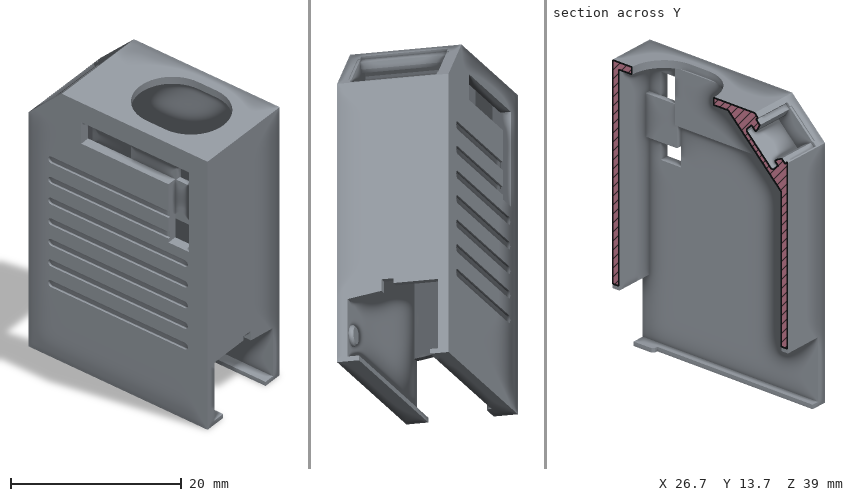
import cadquery as cq
import math

LENGTH = 26.68
WIDTH = 13.7
HEIGHT = 39.0
CORNER = 5.0
SIDE_WALL = 1.3
END_WALL = 1.0
TOP_WALL = 1.0

OPENING_LENGTH = 12.45
OPENING_WIDTH = 9.7
OPENING_X = 17.47
OPENING_Y = 6.82

LIP_HEIGHT = 0.6
FRONT_LIP_EDGE = 2.25
BACK_LIP_EDGE = 11.0
CEILING = 9.05
NOTCH_TOP = 9.65
NOTCH_FRONT = 6.8
NOTCH_BACK = 8.23
SLOPE_TOP = 8.23
SLOPE_BOTTOM = 7.6
HOOK_LENGTH = 3.0
HOOK_EDGE = 2.95
HOOK_TAPER = 0.3

STUD_RADIUS = 1.25
STUD_REACH = 0.5
STUD_CHAMFER = 0.25
STUD_X = 1.68
STUD_Z = 3.6

GROOVE_COUNT = 7
GROOVE_PITCH = 3.0
GROOVE_WIDTH = 0.98
GROOVE_DEPTH = 0.3
GROOVE_START = 2.95
GROOVE_END = 23.75
GROOVE_LOWEST = 10.65

WINDOW_LEFT = 7.88
WINDOW_RIGHT = 23.95
WINDOW_TOP = 36.2
ARM_BOTTOM = 33.07
LEG_LEFT = 20.85
LEG_BOTTOM = 24.6
PLATE_THICKNESS = 0.9
LEG_PLATE_THICKNESS = 0.7
PLATE_STEP = 14.3
PLATE_STEP_DEPTH = 0.8
ARM_PLATE_END = 21.02
ARM_PLATE_BOTTOM = 30.42
LEG_PLATE_BOTTOM = 27.38

POCKET_FRONT = 1.52
POCKET_BACK = 12.15
RIM_LOW = 0.15
RIM_HIGH = 6.3
RIM_DEPTH = 0.4
MOUTH_LOW = 0.85
MOUTH_HIGH = 5.55
THROAT_NARROWING = 0.27
THROAT_START = 1.17
THROAT_END = 1.65
CAVITY_LOW = 0.45
CAVITY_HIGH = 6.12
POCKET_DEPTH = 2.8
CAVITY_CHAMFER = 0.25
SIDE_NOTCH_LOW = 0.8
SIDE_NOTCH_HIGH = 5.75
SIDE_NOTCH_REACH = 0.3
SIDE_NOTCH_DEPTH = 0.1
POCKET_BACKING = 0.78


def box(x0, x1, y0, y1, z0, z1):
    return cq.Workplane("XY").box(x1 - x0, y1 - y0, z1 - z0, centered=False).translate((x0, y0, z0))


def prism_along_y(points, y0, y1):
    """Extrude an (x, z) outline from y0 to y1."""
    return cq.Workplane("XZ", origin=(0, y0, 0)).polyline(points).close().extrude(y0 - y1)


def on_slope(along, depth):
    """(x, z) of a point given along the sloped corner face and square into it."""
    x = (along + depth) / math.sqrt(2)
    z = HEIGHT - CORNER + (along - depth) / math.sqrt(2)
    return x, z


def shell():
    outline = [(0, 0), (LENGTH, 0), (LENGTH, HEIGHT), (CORNER, HEIGHT), (0, HEIGHT - CORNER)]
    body = prism_along_y(outline, 0, WIDTH)
    right = LENGTH - END_WALL
    top = HEIGHT - TOP_WALL
    backing_x, backing_z = on_slope(0, POCKET_DEPTH + POCKET_BACKING)
    rise = backing_z - backing_x
    inside = [
        (END_WALL, SLOPE_BOTTOM),
        (right, SLOPE_BOTTOM),
        (right, top),
        (top - rise, top),
        (END_WALL, END_WALL + rise),
    ]
    return body.cut(prism_along_y(inside, SIDE_WALL, WIDTH - SIDE_WALL))


def bottom_channel():
    back = WIDTH - SIDE_WALL
    outline = [
        (FRONT_LIP_EDGE, 0),
        (FRONT_LIP_EDGE, LIP_HEIGHT),
        (SIDE_WALL, LIP_HEIGHT),
        (SIDE_WALL, CEILING),
        (NOTCH_FRONT, CEILING),
        (NOTCH_FRONT, NOTCH_TOP),
        (NOTCH_BACK, NOTCH_TOP),
        (NOTCH_BACK, SLOPE_TOP),
        (back, SLOPE_BOTTOM),
        (back, LIP_HEIGHT),
        (BACK_LIP_EDGE, LIP_HEIGHT),
        (BACK_LIP_EDGE, 0),
    ]
    return cq.Workplane("YZ").polyline(outline).close().extrude(LENGTH)


def lip_hook():
    start = LENGTH - HOOK_LENGTH
    outline = [
        (start, SIDE_WALL),
        (LENGTH, SIDE_WALL),
        (LENGTH, HOOK_EDGE),
        (start + HOOK_TAPER, HOOK_EDGE),
        (start, HOOK_EDGE - HOOK_TAPER),
    ]
    return cq.Workplane("XY").polyline(outline).close().extrude(LIP_HEIGHT)


def stud():
    return (
        cq.Workplane("XZ", origin=(STUD_X, WIDTH - SIDE_WALL, STUD_Z))
        .circle(STUD_RADIUS)
        .extrude(STUD_REACH)
        .faces("<Y")
        .chamfer(STUD_CHAMFER)
    )


def top_opening():
    return (
        cq.Workplane("XY", origin=(OPENING_X, OPENING_Y, HEIGHT))
        .slot2D(OPENING_LENGTH, OPENING_WIDTH)
        .extrude(-TOP_WALL)
    )


def grip_grooves():
    middle = (GROOVE_START + GROOVE_END) / 2
    places = [(middle, GROOVE_LOWEST + i * GROOVE_PITCH) for i in range(GROOVE_COUNT)]
    return (
        cq.Workplane("XZ")
        .pushPoints(places)
        .slot2D(GROOVE_END - GROOVE_START, GROOVE_WIDTH)
        .extrude(-GROOVE_DEPTH)
    )


def window():
    arm = box(WINDOW_LEFT, WINDOW_RIGHT, 0, SIDE_WALL, ARM_BOTTOM, WINDOW_TOP)
    leg = box(LEG_LEFT, WINDOW_RIGHT, 0, SIDE_WALL, LEG_BOTTOM, ARM_BOTTOM)
    return arm.union(leg)


def latch_plates():
    front = SIDE_WALL
    back = SIDE_WALL + PLATE_THICKNESS
    top = HEIGHT - TOP_WALL
    step = front + PLATE_STEP_DEPTH
    thin = box(WINDOW_LEFT, PLATE_STEP, step, back, ARM_PLATE_BOTTOM, top)
    thick = box(PLATE_STEP, ARM_PLATE_END, front, back, ARM_PLATE_BOTTOM, top)
    leg = box(LEG_LEFT, LENGTH - END_WALL, front, front + LEG_PLATE_THICKNESS, LEG_PLATE_BOTTOM, ARM_BOTTOM)
    return thin.union(thick).union(leg)


def label_pocket():
    throat_low = MOUTH_LOW + THROAT_NARROWING
    throat_high = MOUTH_HIGH - THROAT_NARROWING
    profile = [
        (RIM_LOW, 0),
        (RIM_LOW, RIM_DEPTH),
        (MOUTH_LOW, RIM_DEPTH),
        (throat_low, THROAT_START),
        (throat_low, THROAT_END),
        (CAVITY_LOW, THROAT_END),
        (CAVITY_LOW, POCKET_DEPTH - CAVITY_CHAMFER),
        (CAVITY_LOW + CAVITY_CHAMFER, POCKET_DEPTH),
        (CAVITY_HIGH - CAVITY_CHAMFER, POCKET_DEPTH),
        (CAVITY_HIGH, POCKET_DEPTH - CAVITY_CHAMFER),
        (CAVITY_HIGH, THROAT_END),
        (throat_high, THROAT_END),
        (throat_high, THROAT_START),
        (MOUTH_HIGH, RIM_DEPTH),
        (RIM_HIGH, RIM_DEPTH),
        (RIM_HIGH, 0),
    ]
    pocket = prism_along_y([on_slope(*point) for point in profile], POCKET_FRONT, POCKET_BACK)
    side_notch = [
        (SIDE_NOTCH_LOW, 0),
        (SIDE_NOTCH_LOW, SIDE_NOTCH_DEPTH),
        (SIDE_NOTCH_HIGH, SIDE_NOTCH_DEPTH),
        (SIDE_NOTCH_HIGH, 0),
    ]
    notches = prism_along_y(
        [on_slope(*point) for point in side_notch],
        POCKET_FRONT - SIDE_NOTCH_REACH,
        POCKET_BACK + SIDE_NOTCH_REACH,
    )
    return pocket.union(notches)


result = (
    shell()
    .cut(bottom_channel())
    .union(lip_hook())
    .union(stud())
    .cut(top_opening())
    .cut(grip_grooves())
    .cut(window())
    .union(latch_plates())
    .cut(label_pocket())
)